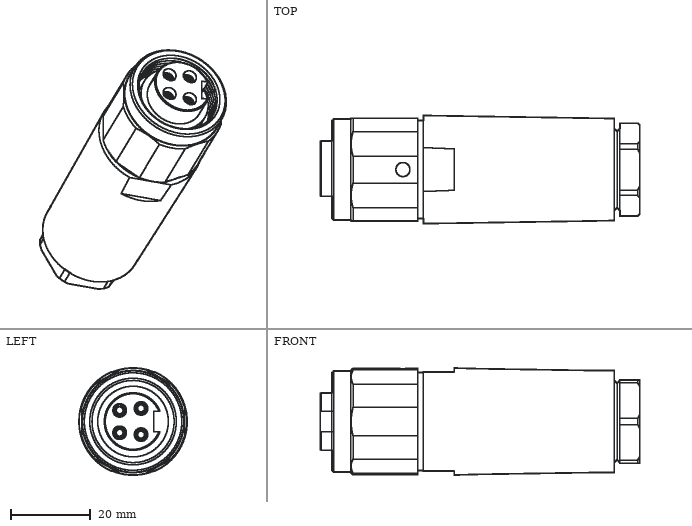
import cadquery as cq
import math

ring_start = 3.0
grip_start = 7.7
neck_start = 24.55
sleeve_start = 25.9
sleeve_flat_end = 33.6
sleeve_end = 73.8
nut_start = 75.15
total_length = 80.2

ring_diameter = 25.4
ring_chamfer = 0.5
grip_diameter = 26.8
grip_across_flats = 25.8
grip_chamfer = 0.6
neck_diameter = 24.6

thread_major_diameter = 21.7
thread_minor_diameter = 20.6
thread_pitch = 1.2
thread_grooves = 5
cavity_depth = 7.2

insert_diameter = 14.4
insert_chamfer = 0.25
flange_diameter = 17.7
flange_start = 6.3
key_depth_from_axis = 5.1
key_width = 5.1

socket_mouth_diameter = 3.4
socket_mouth_depth = 1.9
socket_diameter = 3.0
socket_recess = 2.6
contact_mouth_diameter = 2.2
contact_bore_diameter = 1.8
contact_bore_end = 6.4
plain_side_pair_y = 3.4
plain_side_pair_z = 2.8
key_side_pair_y = -2.0
key_side_pair_z = 3.3

marker_x = 20.8
marker_diameter = 3.5
marker_depth = 1.3

sleeve_start_diameter = 27.2
sleeve_end_diameter = 25.7
sleeve_across_flats = 24.9

gland_crest_diameter = 20.7
gland_root_diameter = 19.1
nut_across_flats = 20.9
nut_corner_diameter = 23.3
nut_chamfer_length = 0.6
nut_chamfer_depth = 0.5


def revolved(profile):
    """Solid of revolution about X from (x, radius) points."""
    return cq.Workplane("XY").polyline(profile).close().revolve(360, (0, 0, 0), (1, 0, 0))


def rod(start, end, diameter):
    """Cylinder along X."""
    return cq.Workplane("YZ", origin=(start, 0, 0)).circle(diameter / 2).extrude(end - start)


def hexagon(start, end, across_flats, first_corner_angle):
    """Hexagonal prism along X; the angle is measured from +Y."""
    corner_diameter = across_flats / math.cos(math.pi / 6)
    prism = cq.Workplane("YZ", origin=(start, 0, 0)).polygon(6, corner_diameter).extrude(end - start)
    return prism.rotate((0, 0, 0), (1, 0, 0), first_corner_angle)


def coupling_ring():
    radius = ring_diameter / 2
    ring = revolved([
        (ring_start, 0),
        (ring_start, radius - ring_chamfer),
        (ring_start + ring_chamfer, radius),
        (grip_start, radius),
        (grip_start, 0),
    ])
    grip = rod(grip_start, neck_start, grip_diameter).faces("<X").chamfer(grip_chamfer)
    grip = grip.intersect(hexagon(grip_start, neck_start, grip_across_flats, 30))
    neck = rod(neck_start, sleeve_start, neck_diameter)
    return ring.union(grip).union(neck)


def threaded_cavity():
    """Bore with a lead-in chamfer and a row of V grooves standing for the thread."""
    major = thread_major_diameter / 2
    minor = thread_minor_diameter / 2
    lead_in_end = ring_start + major - minor
    profile = [(ring_start, 0), (ring_start, major), (lead_in_end, minor)]
    for groove in range(thread_grooves):
        groove_start = lead_in_end + groove * thread_pitch
        profile.append((groove_start + thread_pitch / 2, major))
        profile.append((groove_start + thread_pitch, minor))
    cavity_end = lead_in_end + cavity_depth
    profile += [(cavity_end, minor), (cavity_end, 0)]
    return revolved(profile)


def contact_insert():
    insert = rod(0, neck_start, insert_diameter).faces("<X").chamfer(insert_chamfer)
    key_reach = insert_diameter / 2 - key_depth_from_axis
    keyway = cq.Workplane("XY").box(flange_start, key_reach, key_width, centered=(False, False, True))
    insert = insert.cut(keyway.translate((0, -insert_diameter / 2, 0)))
    return insert.union(rod(flange_start, neck_start, flange_diameter))


def contact_sockets():
    contact_chamfer = (contact_mouth_diameter - contact_bore_diameter) / 2
    socket = revolved([
        (0, 0),
        (0, socket_mouth_diameter / 2),
        (socket_mouth_depth, socket_mouth_diameter / 2),
        (socket_mouth_depth, socket_diameter / 2),
        (socket_recess, socket_diameter / 2),
        (socket_recess, contact_mouth_diameter / 2),
        (socket_recess + contact_chamfer, contact_bore_diameter / 2),
        (contact_bore_end, contact_bore_diameter / 2),
        (contact_bore_end, 0),
    ])
    sockets = cq.Workplane("XY")
    for side in (-1, 1):
        sockets = sockets.add(socket.translate((0, plain_side_pair_y, side * plain_side_pair_z)))
        sockets = sockets.add(socket.translate((0, key_side_pair_y, side * key_side_pair_z)))
    return sockets.combine()


def marker_hole():
    floor_z = grip_diameter / 2 - marker_depth
    hole = cq.Workplane("XY", origin=(marker_x, 0, floor_z))
    return hole.circle(marker_diameter / 2).extrude(2 * marker_depth)


def sleeve():
    body = revolved([
        (sleeve_start, 0),
        (sleeve_start, sleeve_start_diameter / 2),
        (sleeve_end, sleeve_end_diameter / 2),
        (sleeve_end, 0),
    ])
    flat_length = sleeve_flat_end - sleeve_start
    for side in (-1, 1):
        relief = cq.Workplane("XY").box(
            flat_length, sleeve_start_diameter, sleeve_across_flats, centered=(False, True, True))
        body = body.cut(relief.translate((sleeve_start, 0, side * sleeve_across_flats)))
    return body


def cable_gland():
    crest = gland_crest_diameter / 2
    thread = revolved([
        (sleeve_end, 0),
        (sleeve_end, crest),
        ((sleeve_end + nut_start) / 2, gland_root_diameter / 2),
        (nut_start, crest),
        (nut_start, 0),
    ])
    corner = nut_corner_diameter / 2
    turned_blank = revolved([
        (nut_start, 0),
        (nut_start, corner),
        (total_length - nut_chamfer_length, corner),
        (total_length, corner - nut_chamfer_depth),
        (total_length, 0),
    ])
    nut = turned_blank.intersect(hexagon(nut_start, total_length, nut_across_flats, 0))
    return thread.union(nut)


result = (
    coupling_ring()
    .cut(threaded_cavity())
    .union(contact_insert())
    .cut(contact_sockets())
    .cut(marker_hole())
    .union(sleeve())
    .union(cable_gland())
)